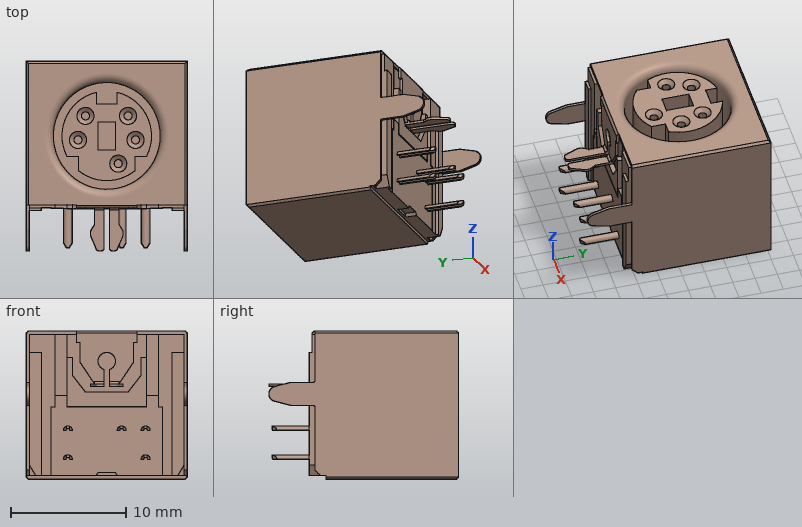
import cadquery as cq
import math


WIDTH = 14.0
HEIGHT = 12.9
BACK_Y = 6.5
TIP_Y = -10.0
OVERLAP = 0.1

SIDE_WALL = 0.27
PLATE = 0.31
SHELL_FRONT_Y = -6.0
BOTTOM_FRONT_Y = -5.04
SHELL_BEVEL = 0.2
SIDE_CORNER_CUT = 0.5

BODY_HALF = WIDTH / 2 - SIDE_WALL
BODY_TOP = HEIGHT - PLATE
BLOCK_Y = -6.35
PANEL_Y = -6.3
FACE_Y = -6.25
RIB_Y = -6.5
PANEL_HALF = 4.84
PANEL_TOP = 6.3
BLOCK_HALF = 3.47
BLOCK_BOTTOM = 6.24
BLOCK_BEVEL = 0.08
CHANNEL_OUTER = 4.5
CHANNEL_FLOOR = 7.3
CHANNEL_DEPTH = 2.0
RIB_INNER = 5.69
RIB_TOP = 11.02
FOOT_CUT_BACK_Y = -5.3
FOOT_CUT_WIDTH = 0.56
FOOT_CUT_HEIGHT = 0.95
NOTCH_BOTTOM_HALF = 0.95
NOTCH_TOP_HALF = 0.75
NOTCH_HEIGHT = 0.27

RECESS_FLOOR_Y = -5.9
RECESS_HALF = 2.97
RECESS_SHOULDER = 10.57
RECESS_KNEE = 9.02
RECESS_BOTTOM = 7.6
RECESS_BOTTOM_HALF = 1.87

FLAP_HALF = 2.64
FLAP_SHOULDER = 11.88
FLAP_NECK_HALF = 2.31
FLAP_KNEE = 10.15
LEG_TOP = 8.3
LEG_THICKNESS = 0.22
LEG_BEND = 0.2
LEG_INNER = 0.22
LEG_OUTER = 1.07
LEG_BULGE = 1.42
LEG_BULGE_START_Y = -7.7
LEG_BULGE_FRONT_Y = -8.27
LEG_BULGE_END_Y = -8.66
LEG_BULGE_RADIUS = 0.3
LEG_TIP_OUTER = 0.85
LEG_TIP_RADIUS = 0.25
FLAP_HOLE_RADIUS = 0.76
FLAP_HOLE_Z = 10.26

TAB_Z = 7.42
TAB_HALF = 1.01
TAB_TAPER_Y = -8.1
TAB_ARC_Y = -9.56
TAB_ARC_HALF = 0.63
TAB_ROOT_RADIUS = 0.12

WELL_RADIUS = 4.64
WELL_ROUND = 0.78
WELL_DEPTH = 8.0
PLUG_RADIUS = 3.89
KEY_HALF = 0.88
KEY_FLOOR_Y = 2.76
SHOULDER_Y = -1.77
SHOULDER_HALF = 2.44
CENTRE_SLOT = (1.52, 2.42)
CONTACTS = [(-1.85, 1.74), (1.85, 1.74), (-2.5, -0.35), (2.5, -0.35), (1.0, -2.41)]
CONTACT_RADIUS = 0.35
CONTACT_MOUTH_RADIUS = 0.74
CONTACT_MOUTH_DEPTH = 0.35

PINS = [(-3.38, 4.24), (1.3, 4.24), (3.38, 4.24), (-3.38, 1.74), (3.38, 1.74)]
PIN_RADIUS = 0.39
PIN_BORE = 0.17
PIN_TIP_HALF = 0.13
PIN_TAPER_Y = -9.3
PIN_END_Y = -9.72


def box(x0, x1, y0, y1, z0, z1):
    """Axis-aligned block between two corners."""
    return cq.Workplane("XY").box(x1 - x0, y1 - y0, z1 - z0, centered=False).translate((x0, y0, z0))


def front_prism(points, y0, y1):
    """Closed (x, z) outline extruded from y0 to y1."""
    return cq.Workplane("XZ", origin=(0, y1, 0)).polyline(points).close().extrude(y1 - y0)


def mirrored_outline(right_half):
    """Complete an outline that is symmetric about x = 0."""
    return right_half + [(-x, v) for x, v in reversed(right_half)]


def both_sides(solid):
    """The solid together with its mirror image across x = 0."""
    return solid.union(solid.mirror("YZ"))


def make_core():
    """Body and shell as one block, with the bevelled edges of the shell."""
    half = WIDTH / 2
    core = box(-half, half, SHELL_FRONT_Y, BACK_Y, 0, HEIGHT)
    core = core.edges("|Y or (>Y and |X)").chamfer(SHELL_BEVEL)
    under_front = box(-half, half, SHELL_FRONT_Y, BOTTOM_FRONT_Y, 0, PLATE)
    core = core.cut(under_front)
    corner = (
        cq.Workplane("YZ", origin=(-half, 0, 0))
        .polyline([
            (SHELL_FRONT_Y, PLATE),
            (SHELL_FRONT_Y + SIDE_CORNER_CUT, PLATE),
            (SHELL_FRONT_Y, PLATE + SIDE_CORNER_CUT),
        ])
        .close()
        .extrude(SIDE_WALL)
    )
    return core.cut(both_sides(corner))


def add_front_faces(part):
    """Stepped front of the insulating body: strips, panel, centre block and ribs."""
    inside_y = SHELL_FRONT_Y + OVERLAP
    strips = box(-BODY_HALF, BODY_HALF, FACE_Y, inside_y, PLATE, BODY_TOP)
    panel = box(-PANEL_HALF, PANEL_HALF, PANEL_Y, inside_y, PLATE, PANEL_TOP)
    neck = box(-CHANNEL_OUTER, CHANNEL_OUTER, PANEL_Y, inside_y, PLATE, CHANNEL_FLOOR)
    block = box(-BLOCK_HALF, BLOCK_HALF, BLOCK_Y, inside_y, BLOCK_BOTTOM, BODY_TOP)
    block = block.edges("|X and <Y and <Z").chamfer(BLOCK_BEVEL)
    rib = box(RIB_INNER, BODY_HALF, RIB_Y, inside_y, PLATE, RIB_TOP)
    return part.union(strips).union(panel).union(neck).union(block).union(both_sides(rib))


def cut_front(part):
    """Channels beside the centre block, flap recess, foot bevels and lower notch."""
    channel = box(
        BLOCK_HALF, CHANNEL_OUTER, RIB_Y, BLOCK_Y + CHANNEL_DEPTH, CHANNEL_FLOOR, BODY_TOP
    )
    recess = front_prism(
        mirrored_outline([
            (RECESS_BOTTOM_HALF, RECESS_BOTTOM),
            (RECESS_HALF, RECESS_KNEE),
            (RECESS_HALF, RECESS_SHOULDER),
            (BLOCK_HALF, RECESS_SHOULDER),
            (BLOCK_HALF, BODY_TOP),
        ]),
        RIB_Y,
        RECESS_FLOOR_Y,
    )
    foot = front_prism(
        [
            (BODY_HALF, PLATE),
            (BODY_HALF, PLATE + FOOT_CUT_HEIGHT),
            (BODY_HALF - FOOT_CUT_WIDTH, PLATE),
        ],
        RIB_Y,
        FOOT_CUT_BACK_Y,
    )
    notch = front_prism(
        mirrored_outline([
            (NOTCH_BOTTOM_HALF, PLATE),
            (NOTCH_TOP_HALF, PLATE + NOTCH_HEIGHT),
        ]),
        RIB_Y,
        FOOT_CUT_BACK_Y,
    )
    return part.cut(both_sides(channel)).cut(recess).cut(both_sides(foot)).cut(notch)


def make_leg():
    """Right snap leg, barbed on its outer side and bent out of the flap."""
    blank = (
        cq.Workplane("XY", origin=(0, 0, LEG_TOP - LEG_THICKNESS))
        .moveTo(LEG_INNER, SHELL_FRONT_Y)
        .lineTo(LEG_OUTER, SHELL_FRONT_Y)
        .lineTo(LEG_OUTER, LEG_BULGE_START_Y)
        .lineTo(LEG_BULGE, LEG_BULGE_FRONT_Y)
        .lineTo(LEG_BULGE, LEG_BULGE_END_Y)
        .lineTo(LEG_TIP_OUTER, TIP_Y)
        .lineTo(LEG_INNER, TIP_Y)
        .close()
        .extrude(LEG_THICKNESS)
    )
    barb = cq.selectors.BoxSelector(
        (LEG_BULGE - OVERLAP, LEG_BULGE_END_Y - OVERLAP, 0),
        (LEG_BULGE + OVERLAP, LEG_BULGE_FRONT_Y + OVERLAP, HEIGHT),
    )
    leg = blank.edges("|Z").edges(barb).fillet(LEG_BULGE_RADIUS)
    leg = leg.edges("|Z").edges("<Y").fillet(LEG_TIP_RADIUS)
    bend = (
        cq.Workplane("YZ", origin=(LEG_INNER, 0, 0))
        .moveTo(FACE_Y, LEG_TOP)
        .lineTo(FACE_Y, LEG_TOP + LEG_BEND)
        .radiusArc((FACE_Y - LEG_BEND, LEG_TOP), -LEG_BEND)
        .close()
        .extrude(LEG_OUTER - LEG_INNER)
    )
    return leg.union(bend)


def add_flap(part):
    """Flap folded down from the top plate, with its keyhole slot and two legs."""
    flap = front_prism(
        mirrored_outline([
            (LEG_OUTER, LEG_TOP - LEG_THICKNESS),
            (LEG_OUTER, LEG_TOP),
            (FLAP_NECK_HALF, FLAP_KNEE),
            (FLAP_NECK_HALF, FLAP_SHOULDER),
            (FLAP_HALF, FLAP_SHOULDER),
            (FLAP_HALF, HEIGHT),
        ]),
        FACE_Y,
        SHELL_FRONT_Y,
    )
    flap = flap.edges("|X and >Z and <Y").chamfer(SHELL_BEVEL)
    slot = box(-LEG_INNER, LEG_INNER, FACE_Y, SHELL_FRONT_Y, 0, FLAP_HOLE_Z)
    hole = (
        cq.Workplane("XZ", origin=(0, SHELL_FRONT_Y, FLAP_HOLE_Z))
        .circle(FLAP_HOLE_RADIUS)
        .extrude(SHELL_FRONT_Y - FACE_Y)
    )
    flap = flap.cut(slot).cut(hole)
    return part.union(flap).union(both_sides(make_leg()))


def add_side_tabs(part):
    """Rounded grounding tabs extending forward from the side walls."""
    root_y = SHELL_FRONT_Y + OVERLAP
    top = TAB_Z + TAB_HALF
    bottom = TAB_Z - TAB_HALF
    tab = (
        cq.Workplane("YZ", origin=(BODY_HALF, 0, 0))
        .moveTo(root_y, bottom - TAB_ROOT_RADIUS)
        .lineTo(SHELL_FRONT_Y, bottom - TAB_ROOT_RADIUS)
        .radiusArc((SHELL_FRONT_Y - TAB_ROOT_RADIUS, bottom), -TAB_ROOT_RADIUS)
        .lineTo(TAB_TAPER_Y, bottom)
        .lineTo(TAB_ARC_Y, TAB_Z - TAB_ARC_HALF)
        .threePointArc((TIP_Y, TAB_Z), (TAB_ARC_Y, TAB_Z + TAB_ARC_HALF))
        .lineTo(TAB_TAPER_Y, top)
        .lineTo(SHELL_FRONT_Y - TAB_ROOT_RADIUS, top)
        .radiusArc((SHELL_FRONT_Y, top + TAB_ROOT_RADIUS), -TAB_ROOT_RADIUS)
        .lineTo(root_y, top + TAB_ROOT_RADIUS)
        .close()
        .extrude(SIDE_WALL)
    )
    return part.union(both_sides(tab))


def make_plug():
    """Keyed core of the socket, with its centre slot and contact holes."""
    floor_z = HEIGHT - WELL_DEPTH
    plug = cq.Workplane("XY", origin=(0, 0, floor_z)).circle(PLUG_RADIUS).extrude(WELL_DEPTH)
    key = box(-KEY_HALF, KEY_HALF, KEY_FLOOR_Y, PLUG_RADIUS, floor_z, HEIGHT)
    shoulder = box(SHOULDER_HALF, PLUG_RADIUS, -PLUG_RADIUS, SHOULDER_Y, floor_z, HEIGHT)
    plug = plug.cut(key).cut(both_sides(shoulder))
    plug = plug.faces(">Z").workplane(origin=(0, 0, HEIGHT)).rect(*CENTRE_SLOT).cutThruAll()
    mouth_angle = 2 * math.degrees(
        math.atan2(CONTACT_MOUTH_RADIUS - CONTACT_RADIUS, CONTACT_MOUTH_DEPTH)
    )
    return (
        plug.faces(">Z")
        .workplane(origin=(0, 0, HEIGHT))
        .pushPoints(CONTACTS)
        .cskHole(2 * CONTACT_RADIUS, 2 * CONTACT_MOUTH_RADIUS, mouth_angle)
    )


def add_socket(part):
    """Round well with a rolled mouth, refilled by the keyed core."""
    floor_z = HEIGHT - WELL_DEPTH
    well = (
        cq.Workplane("XZ")
        .moveTo(0, floor_z)
        .lineTo(WELL_RADIUS, floor_z)
        .lineTo(WELL_RADIUS, HEIGHT - WELL_ROUND)
        .radiusArc((WELL_RADIUS + WELL_ROUND, HEIGHT), WELL_ROUND)
        .lineTo(0, HEIGHT)
        .close()
        .revolve(360, (0, 0, 0), (0, 1, 0))
    )
    return part.cut(well).union(make_plug())


def add_pins(part):
    """Half-tube solder pins with tips narrowed from both sides."""
    root_y = PANEL_Y + OVERLAP
    tube = (
        cq.Workplane("XZ", origin=(0, root_y, 0))
        .moveTo(PIN_BORE, 0)
        .lineTo(PIN_RADIUS, 0)
        .threePointArc((0, PIN_RADIUS), (-PIN_RADIUS, 0))
        .lineTo(-PIN_BORE, 0)
        .threePointArc((0, PIN_BORE), (PIN_BORE, 0))
        .close()
        .extrude(root_y - PIN_END_Y)
    )
    plan = (
        cq.Workplane("XY")
        .polyline(mirrored_outline([
            (PIN_RADIUS, root_y),
            (PIN_RADIUS, PIN_TAPER_Y),
            (PIN_TIP_HALF, PIN_END_Y),
        ]))
        .close()
        .extrude(PIN_RADIUS)
    )
    pin = tube.intersect(plan)
    for x, z in PINS:
        part = part.union(pin.translate((x, 0, z)))
    return part


result = make_core()
result = add_front_faces(result)
result = cut_front(result)
result = add_flap(result)
result = add_side_tabs(result)
result = add_socket(result)
result = add_pins(result)